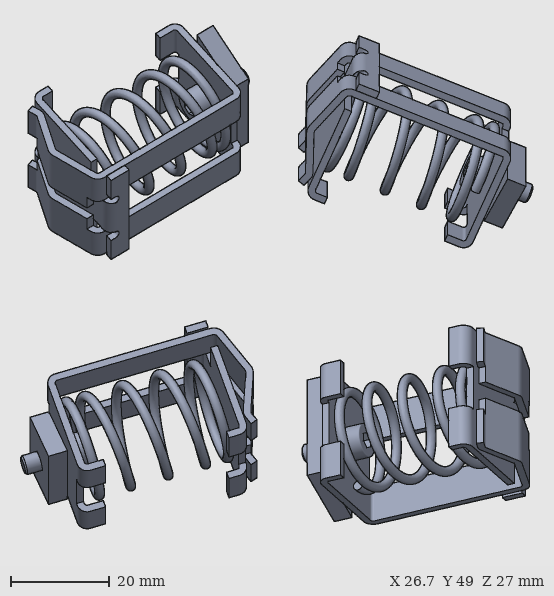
import cadquery as cq
import math


SHEET = 1.5
TIGHT_BEND = 0.6
WIDE_BEND = 0.9

BRACKET_HALF_WIDTH = 11.5
BRACKET_HALF_HEIGHT = 13.05
LIP_END_Y = -5.4
WALL_END_Y = -36.95
APEX_Y = -40.65
VALLEY_POINT = (-9.05, -37.1)
ARM_TIP_POINT = (-11.1, -37.75)
WINDOW_HALF_WIDTH = 8.95
WINDOW_HALF_HEIGHT = 5.4
ARM_GAP = 3.65

PLATE_LEFT_X = -13.45
PLATE_RIGHT_X = 13.22
PLATE_HALF_HEIGHT = 27.0 / 2
PLATE_FRONT_Y = -35.35
PLATE_LIP_END_Y = -31.0
LIP_GAP_HALF_HEIGHT = 4.8
LIP_GAP_END_X = -11.0
SHOULDER_X = 7.15
TONGUE_HALF_HEIGHT = 4.95
WING_FRONT_Y = -34.82
WING_BACK_Y = -30.3
RELIEF_WIDTH = 2.05
RELIEF_TOP_Y = -32.8

SHANK_DIAMETER = 4.0
SCREW_LENGTH = 10.0
TIP_CHAMFER = 0.365
HEAD_DIAMETER = 7.0
HEAD_LENGTH = 4.0
HEAD_ROUNDING = 0.25
SOCKET_FLATS = 3.0
SOCKET_DEPTH = 2.0

NUT_WIDTH = 12.05
NUT_THICKNESS = 4.0
NUT_GAP = 1.0
NUT_LONG_END_Z = 13.35
NUT_SHORT_END_Z = 8.3

WIRE_DIAMETER = 2.0
COIL_RADIUS = 10.05
SPRING_AXIS_X = -0.15
SPRING_AXIS_Z = 0.15
SPRING_BACK_Y = -3.55
FULL_PITCH = 8.0
TURNS = 5.25
FLAT_TURNS = 0.2
RAMP_END_TURNS = 1.45
POINTS_PER_TURN = 16


def strip_side(path, bends, offset):
    """One side of a bent strip, which is the path moved to its left by offset.

    The points are the start, then three per bend (its arc's start, middle and end), then the end.
    Bends are the inner radii at the inner corners of the path.
    """
    points = [cq.Vector(x, y) for x, y in path]
    headings = [(b - a).normalized() for a, b in zip(points, points[1:])]
    normals = [cq.Vector(-h.y, h.x) for h in headings]
    side = [points[0] + normals[0] * offset]
    for i in range(1, len(points) - 1):
        before, after = normals[i - 1], normals[i]
        turn = 1 if headings[i - 1].cross(headings[i]).z > 0 else -1
        middle = (before + after).normalized()
        path_radius = bends[i - 1] + (SHEET if turn > 0 else 0)
        center = points[i] + middle * (turn * path_radius / middle.dot(before))
        reach = offset - turn * path_radius
        side += [center + normal * reach for normal in (before, middle, after)]
    return side + [points[-1] + normals[-1] * offset]


def bent_strip(path, bends, half_height):
    """Sheet of constant thickness on the left of a path in the XY plane, centred on Z = 0."""
    right = strip_side(path, bends, 0)
    left = strip_side(path, bends, SHEET)[::-1]
    outline = cq.Workplane("XY").moveTo(right[0].x, right[0].y)
    for side in (right, left):
        if side is left:
            outline = outline.lineTo(side[0].x, side[0].y)
        for i in range(1, len(side) - 1, 3):
            start, middle, end = side[i:i + 3]
            outline = outline.lineTo(start.x, start.y)
            outline = outline.threePointArc((middle.x, middle.y), (end.x, end.y))
        outline = outline.lineTo(side[-1].x, side[-1].y)
    return outline.close().extrude(half_height, both=True)


def block(x_range, y_range, half_height):
    """Box between two X values and two Y values, centred on Z = 0."""
    width = x_range[1] - x_range[0]
    depth = y_range[1] - y_range[0]
    box = cq.Workplane("XY").box(width, depth, 2 * half_height, centered=(False, False, True))
    return box.translate((x_range[0], y_range[0], 0))


def cylinder_along_y(diameter, y_start, y_end):
    """Cylinder on the screw axis."""
    return cq.Workplane("XZ", origin=(0, y_start, 0)).circle(diameter / 2).extrude(y_start - y_end)


def make_bracket():
    """Spring housing with a window through both side walls and two angled arms across the front."""
    path = [
        ARM_TIP_POINT,
        VALLEY_POINT,
        (0, APEX_Y),
        (BRACKET_HALF_WIDTH, WALL_END_Y),
        (BRACKET_HALF_WIDTH, 0),
        (-BRACKET_HALF_WIDTH, 0),
        (-BRACKET_HALF_WIDTH, LIP_END_Y),
    ]
    bends = [TIGHT_BEND, WIDE_BEND, WIDE_BEND, TIGHT_BEND, TIGHT_BEND]
    body = bent_strip(path, bends, BRACKET_HALF_HEIGHT)
    beyond = 2 * BRACKET_HALF_WIDTH
    for x_range in ((-beyond, -WINDOW_HALF_WIDTH), (WINDOW_HALF_WIDTH, beyond)):
        body = body.cut(block(x_range, (2 * APEX_Y, SHEET), WINDOW_HALF_HEIGHT))
    body = body.cut(block((-beyond, beyond), (2 * APEX_Y, PLATE_FRONT_Y), ARM_GAP / 2))
    return body.cut(cylinder_along_y(SHANK_DIAMETER, SHEET, -2 * SHEET))


def make_pressure_plate():
    """Plate with a split lip on the left and a tongue that passes out through the right window."""
    path = [
        (PLATE_LEFT_X, PLATE_LIP_END_Y),
        (PLATE_LEFT_X, PLATE_FRONT_Y),
        (PLATE_RIGHT_X, PLATE_FRONT_Y),
        (PLATE_RIGHT_X, WING_BACK_Y),
    ]
    y_range = (PLATE_FRONT_Y, WING_BACK_Y)
    wide = block((PLATE_LEFT_X, SHOULDER_X), y_range, PLATE_HALF_HEIGHT)
    wide = wide.cut(block((PLATE_LEFT_X, LIP_GAP_END_X), y_range, LIP_GAP_HALF_HEIGHT))
    tongue = block((SHOULDER_X, PLATE_RIGHT_X), y_range, TONGUE_HALF_HEIGHT)
    body = bent_strip(path, [TIGHT_BEND, TIGHT_BEND], PLATE_HALF_HEIGHT).intersect(wide.union(tongue))
    return body.union(make_wings())


def make_wings():
    """Cross-bar at the end of the tongue, with a round-topped relief slot on each side of the tongue."""
    x_range = (PLATE_RIGHT_X - SHEET, PLATE_RIGHT_X)
    wings = block(x_range, (WING_FRONT_Y, WING_BACK_Y), PLATE_HALF_HEIGHT)
    wings = wings.cut(block(x_range, (WING_FRONT_Y, RELIEF_TOP_Y), TONGUE_HALF_HEIGHT))
    relief_z = TONGUE_HALF_HEIGHT + RELIEF_WIDTH / 2
    relief = (
        cq.Workplane("YZ", origin=(x_range[0], RELIEF_TOP_Y, 0))
        .pushPoints([(-RELIEF_WIDTH, relief_z), (-RELIEF_WIDTH, -relief_z)])
        .slot2D(2 * RELIEF_WIDTH, RELIEF_WIDTH)
        .extrude(SHEET)
    )
    return wings.cut(relief)


def make_screw():
    """Socket head screw whose head rests on the inner face of the bracket back."""
    tip_y = SCREW_LENGTH - SHEET
    head_end_y = -SHEET - HEAD_LENGTH
    shank = cylinder_along_y(SHANK_DIAMETER, tip_y, -SHEET).faces(">Y").chamfer(TIP_CHAMFER)
    head = cylinder_along_y(HEAD_DIAMETER, -SHEET, head_end_y).edges().fillet(HEAD_ROUNDING)
    socket = (
        cq.Workplane("XZ", origin=(0, head_end_y + SOCKET_DEPTH, 0))
        .polygon(6, SOCKET_FLATS, circumscribed=True)
        .extrude(SOCKET_DEPTH)
    )
    return shank.union(head).cut(socket)


def make_nut():
    """Parallelogram nut with sloping ends, bored for the screw."""
    half_width = NUT_WIDTH / 2
    corners = [
        (-half_width, NUT_LONG_END_Z),
        (half_width, NUT_SHORT_END_Z),
        (half_width, -NUT_LONG_END_Z),
        (-half_width, -NUT_SHORT_END_Z),
    ]
    back_y = NUT_GAP + NUT_THICKNESS
    body = cq.Workplane("XZ", origin=(0, back_y, 0)).polyline(corners).close().extrude(NUT_THICKNESS)
    return body.cut(cylinder_along_y(SHANK_DIAMETER, back_y, NUT_GAP))


def advance(turn):
    """Axial distance covered after a number of turns: flat, then a rising pitch, then the full pitch."""
    ramp_turns = RAMP_END_TURNS - FLAT_TURNS
    in_ramp = min(max(turn - FLAT_TURNS, 0), ramp_turns)
    return FULL_PITCH * (in_ramp ** 2 / (2 * ramp_turns) + max(turn - RAMP_END_TURNS, 0))


def spring_point(turn):
    """Point on the wire axis; the second half mirrors the pitch of the first half."""
    half = TURNS / 2
    travel = advance(turn) if turn <= half else 2 * advance(half) - advance(TURNS - turn)
    angle = 2 * math.pi * turn - math.pi / 2
    x = SPRING_AXIS_X + COIL_RADIUS * math.cos(angle)
    z = SPRING_AXIS_Z + COIL_RADIUS * math.sin(angle)
    return cq.Vector(x, SPRING_BACK_Y - travel, z)


def make_spring():
    """Compression spring with closed ends, its wire starting below the axis."""
    count = round(TURNS * POINTS_PER_TURN)
    points = [spring_point(TURNS * i / count) for i in range(count + 1)]
    wire_axis = cq.Workplane("XY").add(cq.Wire.assembleEdges([cq.Edge.makeSpline(points)]))
    start = cq.Plane(origin=points[0], xDir=(0, 0, 1), normal=(1, 0, 0))
    return cq.Workplane(start).circle(WIRE_DIAMETER / 2).sweep(wire_axis, isFrenet=False)


bracket = make_bracket()
pressure_plate = make_pressure_plate()
screw = make_screw()
nut = make_nut()
spring = make_spring()

result = cq.Compound.makeCompound(
    [bracket.val(), pressure_plate.val(), screw.val(), nut.val(), spring.val()]
)